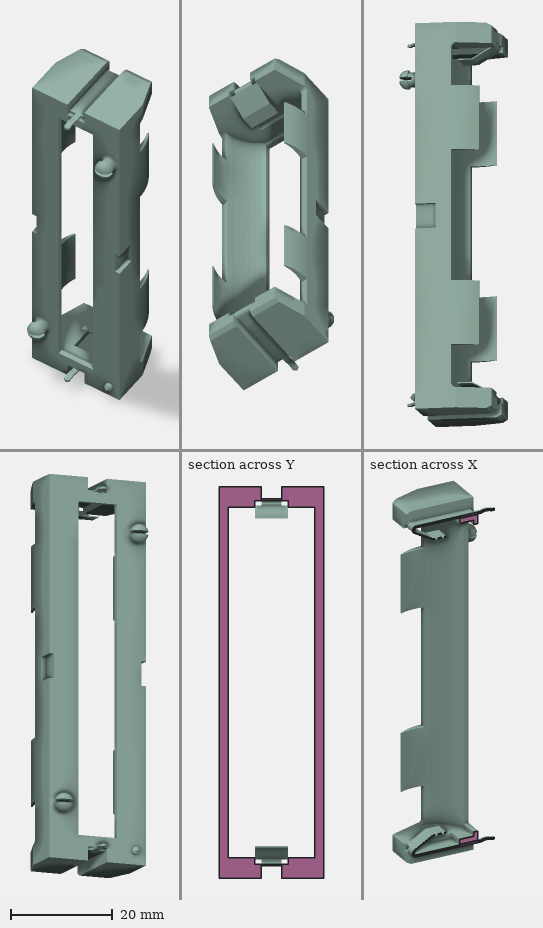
import cadquery as cq
import math


LENGTH = 77.05
WIDTH = 20.65
FRAME_DEPTH = 7.25
BLOCK_DEPTH = 14.9
TAPER_START = 8.2
BLOCK_BACK_WIDTH = 16.0
BACK_CHAMFER_DEPTH = 1.0
BACK_CHAMFER_DROP = 0.55

CELL_RADIUS = 9.2
CELL_AXIS_Y = 9.25
CELL_HALF_LENGTH = 34.45
CAVITY_FLOOR = 1.1
WINDOW_WIDTH = 8.2
WINDOW_LENGTH = 67.0

CLIP_TOP = 12.55
CLIP_NEAR = 13.1
CLIP_LENGTH = 12.8

RECESS_DEPTH = 1.0
RECESS_HEIGHT = 4.15
RECESS_LENGTH = 4.9

STRIP_THICKNESS = 0.5
LEAF_THICKNESS = 0.2
STRIP_WIDTH = 4.0
STRIP_FACE_Z = 36.1
STRIP_FRONT = 0.85
BEND_START = 13.8
BEND_RADIUS = 0.81
SPRING_WIDTH = 6.4
SPRING_ANGLE = 30.0
SPRING_TIP_Z = 32.2
SPRING_TIP_Y = 7.1
PIN_WIDTH = 1.2
PIN_LENGTH = 3.6
PIN_POINT_LENGTH = 0.4
PIN_POINT_WIDTH = 0.15
KINK_NEAR = 0.6
KINK_FAR = 2.9
KINK_RISE = 0.2

SEAT_Z = STRIP_FACE_Z - STRIP_THICKNESS
POCKET_FRONT = 4.15

PEG_X = 8.0
PEG_Z = 27.65
PEG_NECK_RADIUS = 1.5
PEG_ROOT_FILLET = 0.7
PEG_NECK_LENGTH = 1.6
PEG_HEAD_RADIUS = 1.85
PEG_RIM = 0.5
PEG_LENGTH = 3.55
PEG_SLOT = 0.7
PEG_SLOT_END = 0.85
LOCATOR_Z = -35.8
LOCATOR_RADIUS = 0.81
LOCATOR_SHANK = 0.8
LOCATOR_LENGTH = 1.5

ENDS = (-1, 1)


def box(width, y_near, y_far, z_low, z_high, x_middle=0.0):
    """Box centred on X = x_middle between the given Y and Z limits."""
    size_y = y_far - y_near
    size_z = z_high - z_low
    middle = (x_middle, y_near + size_y / 2, z_low + size_z / 2)
    return cq.Workplane("XY").box(width, size_y, size_z).translate(middle)


def side_profile(points, width):
    """Extrude an outline in the YZ plane symmetrically about X = 0."""
    return cq.Workplane("YZ").polyline(points).close().extrude(width / 2, both=True)


def at_end(shape, end):
    """A shape built for the +Z end, mirrored if the -Z end is wanted."""
    return shape if end > 0 else shape.mirror("XY")


def body_profile():
    """Outline with deep end blocks, chamfered at the back, and shallow rails between them."""
    half = LENGTH / 2
    cell = CELL_HALF_LENGTH
    fillet = TAPER_START - FRAME_DEPTH
    bulge = fillet * (1 - math.sqrt(0.5))
    rail_end = cell - fillet
    chamfer_y = BLOCK_DEPTH - BACK_CHAMFER_DEPTH
    chamfer_z = half - BACK_CHAMFER_DROP
    return (
        cq.Workplane("YZ")
        .moveTo(0, -half)
        .lineTo(chamfer_y, -half)
        .lineTo(BLOCK_DEPTH, -chamfer_z)
        .lineTo(BLOCK_DEPTH, -cell)
        .lineTo(TAPER_START, -cell)
        .threePointArc((FRAME_DEPTH + bulge, bulge - cell), (FRAME_DEPTH, -rail_end))
        .lineTo(FRAME_DEPTH, rail_end)
        .threePointArc((FRAME_DEPTH + bulge, cell - bulge), (TAPER_START, cell))
        .lineTo(BLOCK_DEPTH, cell)
        .lineTo(BLOCK_DEPTH, chamfer_z)
        .lineTo(chamfer_y, half)
        .lineTo(0, half)
        .close()
        .extrude(WIDTH / 2, both=True)
    )


def tapered_envelope():
    """Outline along Z: straight sides that lean in towards the open side."""
    side = WIDTH / 2
    back = BLOCK_BACK_WIDTH / 2
    outline = [(-side, 0), (side, 0), (side, TAPER_START), (back, BLOCK_DEPTH),
               (-back, BLOCK_DEPTH), (-side, TAPER_START)]
    return cq.Workplane("XY").polyline(outline).close().extrude(LENGTH / 2, both=True)


def clip_blank(end):
    """Round-sided block; the cell cavity leaves only its two side walls."""
    disc = cq.Workplane("XY").center(0, FRAME_DEPTH).circle(WIDTH / 2).extrude(CLIP_LENGTH)
    disc = disc.translate((0, 0, CLIP_NEAR))
    kept = box(WIDTH, FRAME_DEPTH, CLIP_TOP, CLIP_NEAR, CLIP_NEAR + CLIP_LENGTH)
    return at_end(disc.intersect(kept), end)


def cell_cavity():
    """Cylinder for the cell, flattened at the rim around the window."""
    cell = cq.Workplane("XY").center(0, CELL_AXIS_Y).circle(CELL_RADIUS)
    cell = cell.extrude(CELL_HALF_LENGTH, both=True)
    cavity_top = CELL_AXIS_Y + CELL_RADIUS
    above_floor = box(WIDTH, CAVITY_FLOOR, cavity_top, -CELL_HALF_LENGTH, CELL_HALF_LENGTH)
    return cell.intersect(above_floor)


def contact_seat(end):
    """Notch for the strip with a pocket for the spring below it."""
    notch = box(STRIP_WIDTH, 0, BLOCK_DEPTH, SEAT_Z, LENGTH / 2)
    pocket = box(SPRING_WIDTH, POCKET_FRONT, BLOCK_DEPTH, CELL_HALF_LENGTH, SEAT_Z)
    return at_end(notch.union(pocket), end)


def snap_peg(x, z):
    """Turned peg with a filleted root and a domed, slotted head, pointing towards -Y."""
    root = PEG_NECK_RADIUS + PEG_ROOT_FILLET
    root_bulge = PEG_ROOT_FILLET * (1 - math.sqrt(0.5))
    rim_end = PEG_NECK_LENGTH + PEG_RIM
    dome = PEG_LENGTH - rim_end
    dome_bulge = dome * (1 - math.sqrt(0.5))
    dome_middle = (PEG_HEAD_RADIUS - dome_bulge, dome_bulge - PEG_LENGTH)
    peg = (
        cq.Workplane("XY")
        .lineTo(root, 0)
        .threePointArc((PEG_NECK_RADIUS + root_bulge, -root_bulge), (PEG_NECK_RADIUS, -PEG_ROOT_FILLET))
        .lineTo(PEG_NECK_RADIUS, -PEG_NECK_LENGTH)
        .lineTo(PEG_HEAD_RADIUS, -PEG_NECK_LENGTH)
        .lineTo(PEG_HEAD_RADIUS, -rim_end)
        .threePointArc(dome_middle, (PEG_HEAD_RADIUS - dome, -PEG_LENGTH))
        .lineTo(0, -PEG_LENGTH)
        .close()
        .revolve(360, (0, 0, 0), (0, 1, 0))
    )
    slot = box(2 * root, -PEG_LENGTH, -PEG_SLOT_END, -PEG_SLOT / 2, PEG_SLOT / 2)
    return peg.cut(slot).translate((x, 0, z))


def locating_peg():
    """Short round peg with a conical tip, pointing towards -Y."""
    return (
        cq.Workplane("XY")
        .polyline([(0, 0), (LOCATOR_RADIUS, 0), (LOCATOR_RADIUS, -LOCATOR_SHANK), (0, -LOCATOR_LENGTH)])
        .close()
        .revolve(360, (0, 0, 0), (0, 1, 0))
        .translate((PEG_X, 0, LOCATOR_Z))
    )


def make_housing():
    housing = body_profile().intersect(tapered_envelope())
    for end in ENDS:
        housing = housing.union(clip_blank(end))
    housing = housing.cut(cell_cavity())
    housing = housing.cut(box(WINDOW_WIDTH, 0, FRAME_DEPTH, -WINDOW_LENGTH / 2, WINDOW_LENGTH / 2))
    for end in ENDS:
        housing = housing.cut(contact_seat(end))
        recess_middle = end * (WIDTH - RECESS_DEPTH) / 2
        recess = box(RECESS_DEPTH, 0, RECESS_HEIGHT, -RECESS_LENGTH / 2, RECESS_LENGTH / 2, recess_middle)
        housing = housing.cut(recess)
        housing = housing.union(snap_peg(end * PEG_X, end * PEG_Z))
    return housing.union(locating_peg())


def contact_strip():
    """Flat strip in the notch and the bend that turns it back towards the cell."""
    turn = math.radians(180 - SPRING_ANGLE)
    centre_z = STRIP_FACE_Z - BEND_RADIUS

    def on_bend(radius, angle):
        return (BEND_START + radius * math.sin(angle), centre_z + radius * math.cos(angle))

    inner = BEND_RADIUS - STRIP_THICKNESS
    return (
        cq.Workplane("YZ")
        .moveTo(STRIP_FRONT, STRIP_FACE_Z)
        .lineTo(BEND_START, STRIP_FACE_Z)
        .threePointArc(on_bend(BEND_RADIUS, turn / 2), on_bend(BEND_RADIUS, turn))
        .lineTo(*on_bend(inner, turn))
        .threePointArc(on_bend(inner, turn / 2), on_bend(inner, 0))
        .lineTo(STRIP_FRONT, SEAT_Z)
        .close()
        .extrude(STRIP_WIDTH / 2, both=True)
    )


def contact_spring():
    """Leaf that slopes down from the bend and ends in a flat tip."""
    angle = math.radians(SPRING_ANGLE)
    start_y = BEND_START + BEND_RADIUS * math.sin(angle)
    start_z = STRIP_FACE_Z - BEND_RADIUS * (1 + math.cos(angle))
    knee_y = start_y - (start_z - SPRING_TIP_Z) / math.tan(angle)
    knee_shift = LEAF_THICKNESS * math.tan(angle / 2)
    outline = [
        (start_y, start_z),
        (knee_y, SPRING_TIP_Z),
        (SPRING_TIP_Y, SPRING_TIP_Z),
        (SPRING_TIP_Y, SPRING_TIP_Z + LEAF_THICKNESS),
        (knee_y - knee_shift, SPRING_TIP_Z + LEAF_THICKNESS),
        (start_y - LEAF_THICKNESS * math.sin(angle), start_z + LEAF_THICKNESS * math.cos(angle)),
    ]
    return side_profile(outline, SPRING_WIDTH)


def contact_pin(kink):
    """Pointed solder pin whose middle bows sideways by the given rise."""
    kink_middle = (KINK_NEAR + KINK_FAR) / 2
    upper = STRIP_FACE_Z
    lower = SEAT_Z
    bent = (
        cq.Workplane("YZ")
        .moveTo(STRIP_FRONT, upper)
        .lineTo(-KINK_NEAR, upper)
        .threePointArc((-kink_middle, upper + kink), (-KINK_FAR, upper))
        .lineTo(-PIN_LENGTH, upper)
        .lineTo(-PIN_LENGTH, lower)
        .lineTo(-KINK_FAR, lower)
        .threePointArc((-kink_middle, lower + kink), (-KINK_NEAR, lower))
        .lineTo(STRIP_FRONT, lower)
        .close()
        .extrude(PIN_WIDTH / 2, both=True)
    )
    half = PIN_WIDTH / 2
    point = PIN_POINT_WIDTH / 2
    shoulder = PIN_POINT_LENGTH - PIN_LENGTH
    plan = [(-half, STRIP_FRONT), (half, STRIP_FRONT), (half, shoulder), (point, -PIN_LENGTH),
            (-point, -PIN_LENGTH), (-half, shoulder)]
    pointed = cq.Workplane("XY").polyline(plan).close().extrude(LENGTH)
    return bent.intersect(pointed)


def make_contact(end):
    """Both pins are kinked towards +Z, so the kink is turned over before mirroring."""
    contact = contact_strip().union(contact_spring()).union(contact_pin(end * KINK_RISE))
    return at_end(contact, end)


housing = make_housing()
contacts = [make_contact(end) for end in ENDS]

result = cq.Compound.makeCompound([housing.val(), *[contact.val() for contact in contacts]])